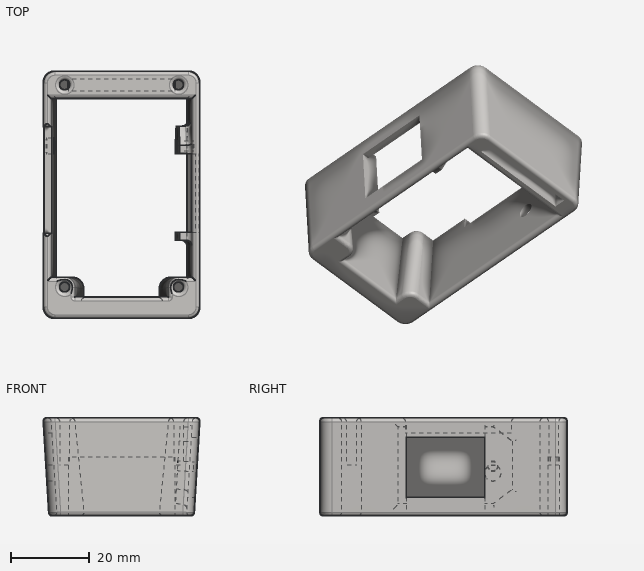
import cadquery as cq
import math

HEIGHT = 25.0
LENGTH = 63.0
TOP_WIDTH = 40.0
BOTTOM_WIDTH = 37.0
SIDE_WALL = 2.0
FRONT_WALL = 5.5
BACK_WALL = 7.0
CORNER_RADIUS = 3.0
RIM_RADIUS = 0.995

LEAN = (TOP_WIDTH - BOTTOM_WIDTH) / 2 / HEIGHT
INNER_BASE_HALF_WIDTH = BOTTOM_WIDTH / 2 - SIDE_WALL
FRONT_INNER_Y = -LENGTH / 2 + FRONT_WALL
BACK_INNER_Y = LENGTH / 2 - BACK_WALL
CLEARANCE = 0.2

SCREW_X = 14.5
BACK_SCREW_Y = LENGTH / 2 - BACK_WALL / 2
FRONT_SCREW_INSET = 8.0
FRONT_SCREW_Y = -LENGTH / 2 + FRONT_SCREW_INSET
SCREW_DIAMETER = 2.5
SCREW_DEPTH = 12.0
SCREW_MOUTH_RADIUS = 1.1
BOSS_TOP_RADIUS = 2.5
BOSS_BASE_RADIUS = 3.0
BOSS_FLARE = 2.5

POCKET_HALF_WIDTH = 13.6
POCKET_WALL = 2.0
POCKET_ROOF_Z = 15.0

NOTCH_BACK_Y = 17.25
NOTCH_LENGTH = 27.0
NOTCH_DEPTH = 3.85

WINDOW_FRONT_Y = -9.5
WINDOW_BACK_Y = 10.5
WINDOW_BOTTOM_Z = 4.7
WINDOW_TOP_Z = 20.0
POST_THICKNESS = 3.0
POST_FRONT_Y = -11.6
POST_BACK_Y = 17.5
POST_BOTTOM_Z = 3.0
POST_TOP_Z = 22.6
POST_BEVEL_Y = 4.9
POST_BEVEL_Z = 3.7
POST_ROOT_RADIUS = 1.4

POST_HOLE_Y = 12.5
POST_HOLE_Z = (POST_BOTTOM_Z + POST_TOP_Z) / 2
POST_HOLE_DIAMETER = 2.5
POST_HOLE_DEPTH = 4.0
ACCESS_HOLE_Z = 10.9
ACCESS_HOLE_DIAMETER = 4.1


def box_between(x0, x1, y0, y1, z0, z1):
    return cq.Workplane("XY").box(x1 - x0, y1 - y0, z1 - z0, centered=False).translate((x0, y0, z0))


def leaning_block(bottom_half_width, front_y, back_y):
    """Block of full height whose two sides lean like the side walls."""
    top_half_width = bottom_half_width + LEAN * HEIGHT
    outline = [
        (-bottom_half_width, 0),
        (bottom_half_width, 0),
        (top_half_width, HEIGHT),
        (-top_half_width, HEIGHT),
    ]
    return cq.Workplane("XZ", origin=(0, back_y, 0)).polyline(outline).close().extrude(back_y - front_y)


def outer_body():
    block = leaning_block(BOTTOM_WIDTH / 2, -LENGTH / 2, LENGTH / 2)
    return block.edges("not(|X or |Y)").fillet(CORNER_RADIUS)


def inner_wall_x(z):
    return INNER_BASE_HALF_WIDTH + LEAN * z


def boss(side):
    """Slanted boss in a front corner; side is -1 for left and 1 for right."""
    back_y = FRONT_SCREW_Y + BOSS_TOP_RADIUS
    wall_x = side * TOP_WIDTH

    def outline(plane, reach, radius):
        tip_x = side * reach
        arc_start = (tip_x + side * radius, back_y)
        bulge = radius * (1 - math.sqrt(0.5))
        return (
            plane.moveTo(wall_x, back_y)
            .lineTo(*arc_start)
            .threePointArc((tip_x + side * bulge, back_y - bulge), (tip_x, back_y - radius))
            .lineTo(tip_x, FRONT_INNER_Y)
            .lineTo(wall_x, FRONT_INNER_Y)
            .close()
        )

    top_reach = SCREW_X - BOSS_TOP_RADIUS
    base = outline(cq.Workplane("XY"), top_reach - BOSS_FLARE, BOSS_BASE_RADIUS)
    return outline(base.workplane(offset=HEIGHT), top_reach, BOSS_TOP_RADIUS).loft(ruled=True)


def notch():
    front_y = NOTCH_BACK_Y - NOTCH_LENGTH
    return box_between(-TOP_WIDTH, 0, front_y, NOTCH_BACK_Y, HEIGHT - NOTCH_DEPTH, HEIGHT + CLEARANCE)


def frame():
    cavity = leaning_block(INNER_BASE_HALF_WIDTH, FRONT_INNER_Y, BACK_INNER_Y)
    cavity = cavity.cut(boss(-1)).cut(boss(1))
    body = outer_body().cut(cavity).cut(notch())
    return body.faces("<Z or >Z").edges().fillet(RIM_RADIUS)


def right_wall_plane():
    """Plane on the inner face of the right wall: local x runs along -Y, local y up the wall."""
    return cq.Plane(origin=(inner_wall_x(0), 0, 0), xDir=(0, -1, 0), normal=(-1, 0, LEAN))


def post_pad():
    """Pad as high as the posts and spanning both, with the corners at its back end bevelled."""
    stretch = math.hypot(1, LEAN)
    bottom = POST_BOTTOM_Z * stretch
    top = POST_TOP_Z * stretch
    outline = [
        (-POST_FRONT_Y, bottom),
        (-POST_FRONT_Y, top),
        (-POST_BACK_Y + POST_BEVEL_Y, top),
        (-POST_BACK_Y, top - POST_BEVEL_Z),
        (-POST_BACK_Y, bottom + POST_BEVEL_Z),
        (-POST_BACK_Y + POST_BEVEL_Y, bottom),
    ]
    return cq.Workplane(right_wall_plane()).polyline(outline).close().extrude(POST_THICKNESS)


def add_posts(body):
    """Raise one pad on the right wall, round its root and split it into two posts."""
    near_wall = cq.selectors.BoxSelector(
        (inner_wall_x(POST_BOTTOM_Z) - CLEARANCE, POST_FRONT_Y - CLEARANCE, POST_BOTTOM_Z - CLEARANCE),
        (inner_wall_x(POST_TOP_Z) + CLEARANCE, POST_BACK_Y + CLEARANCE, POST_TOP_Z + CLEARANCE),
        boundingbox=True,
    )
    body = body.union(post_pad())
    body = body.edges(near_wall).fillet(POST_ROOT_RADIUS)
    gap = leaning_block(INNER_BASE_HALF_WIDTH, WINDOW_FRONT_Y, WINDOW_BACK_Y)
    return body.cut(gap)


def window():
    return box_between(0, TOP_WIDTH, WINDOW_FRONT_Y, WINDOW_BACK_Y, WINDOW_BOTTOM_Z, WINDOW_TOP_Z)


def cylinder(diameter, start, direction, length):
    return cq.Workplane(cq.Solid.makeCylinder(diameter / 2, length, start, direction))


def post_hole():
    """Blind hole square to the post face."""
    direction = cq.Vector(1, 0, -LEAN)
    face_x = inner_wall_x(POST_HOLE_Z) - POST_THICKNESS
    start = cq.Vector(face_x, POST_HOLE_Y, POST_HOLE_Z) - direction * CLEARANCE
    return cylinder(POST_HOLE_DIAMETER, start, direction, POST_HOLE_DEPTH + CLEARANCE)


def access_hole():
    """Hole through the left wall, square to it, that rises towards the post hole."""
    direction = cq.Vector(1, 0, LEAN)
    outer_x = -BOTTOM_WIDTH / 2 - LEAN * ACCESS_HOLE_Z
    start = cq.Vector(outer_x, POST_HOLE_Y, ACCESS_HOLE_Z) - direction * SIDE_WALL
    return cylinder(ACCESS_HOLE_DIAMETER, start, direction, 3 * SIDE_WALL)


def back_pocket():
    return box_between(
        -POCKET_HALF_WIDTH,
        POCKET_HALF_WIDTH,
        BACK_INNER_Y + POCKET_WALL,
        LENGTH / 2 - POCKET_WALL,
        0,
        POCKET_ROOF_Z,
    )


def rim_screw_hole(x, y):
    """Blind flat-bottomed hole from the rim with a rounded mouth."""
    radius = SCREW_DIAMETER / 2
    mouth = radius + SCREW_MOUTH_RADIUS
    bulge = SCREW_MOUTH_RADIUS * (1 - math.sqrt(0.5))
    profile = (
        cq.Workplane("XZ")
        .moveTo(0, -SCREW_DEPTH)
        .lineTo(radius, -SCREW_DEPTH)
        .lineTo(radius, -SCREW_MOUTH_RADIUS)
        .threePointArc((radius + bulge, -bulge), (mouth, 0))
        .lineTo(0, 0)
        .close()
    )
    return profile.revolve(360, (0, 0, 0), (0, 1, 0)).translate((x, y, HEIGHT))


housing = add_posts(frame())
for cutter in (window(), post_hole(), access_hole(), back_pocket()):
    housing = housing.cut(cutter)
for screw_x in (-SCREW_X, SCREW_X):
    for screw_y in (FRONT_SCREW_Y, BACK_SCREW_Y):
        housing = housing.cut(rim_screw_hole(screw_x, screw_y))
result = housing